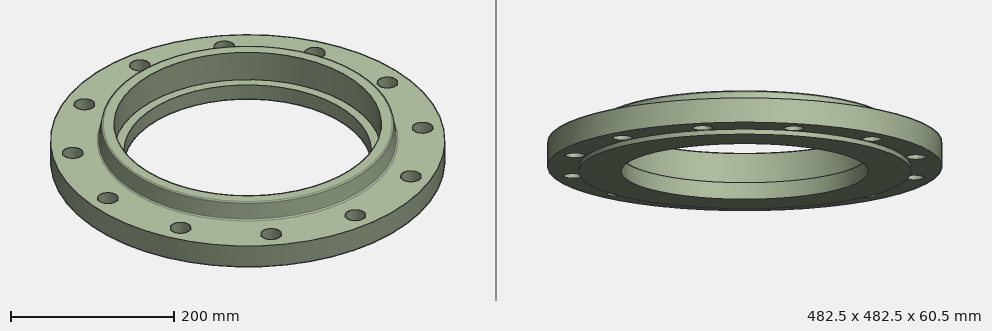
import cadquery as cq

flange_diameter = 482.5
total_height = 60.5

raised_face_diameter = 406.0
raised_face_height = 6.5

plate_thickness = 30.5
hub_base_diameter = 364.7
hub_top_diameter = 357.0
hub_base_fillet = 2.0
hub_top_fillet = 2.0

bore_diameter = 303.0
socket_diameter = 327.0
socket_depth = 39.5

bolt_count = 12
bolt_circle_diameter = 432.0
bolt_hole_diameter = 25.0

plate_top = raised_face_height + plate_thickness


def make_body():
    """Solid of revolution: raised face, plate and tapered hub, standing on Z = 0."""
    raised_face_radius = raised_face_diameter / 2
    flange_radius = flange_diameter / 2
    profile = (
        cq.Workplane("XZ")
        .lineTo(raised_face_radius, 0)
        .lineTo(raised_face_radius, raised_face_height)
        .lineTo(flange_radius, raised_face_height)
        .lineTo(flange_radius, plate_top)
        .lineTo(hub_base_diameter / 2, plate_top)
        .lineTo(hub_top_diameter / 2, total_height)
        .lineTo(0, total_height)
        .close()
    )
    return profile.revolve(360, (0, 0, 0), (0, 1, 0))


def round_hub(body):
    """Round the corner where the hub meets the plate, then the top rim of the hub."""
    hub_base_edge = cq.selectors.RadiusNthSelector(1)
    body = body.edges(hub_base_edge).fillet(hub_base_fillet)
    return body.faces(">Z").edges().fillet(hub_top_fillet)


def cut_bore(body):
    """Cut the through bore and the socket that opens at the hub top."""
    return body.faces(">Z").workplane(origin=(0, 0, 0)).cboreHole(bore_diameter, socket_diameter, socket_depth)


def cut_bolt_holes(body):
    """Drill the evenly spaced bolt holes through the plate."""
    return (
        body.faces(">Z")
        .workplane(origin=(0, 0, 0))
        .polarArray(bolt_circle_diameter / 2, 0, 360, bolt_count)
        .hole(bolt_hole_diameter)
    )


result = cut_bolt_holes(cut_bore(round_hub(make_body())))